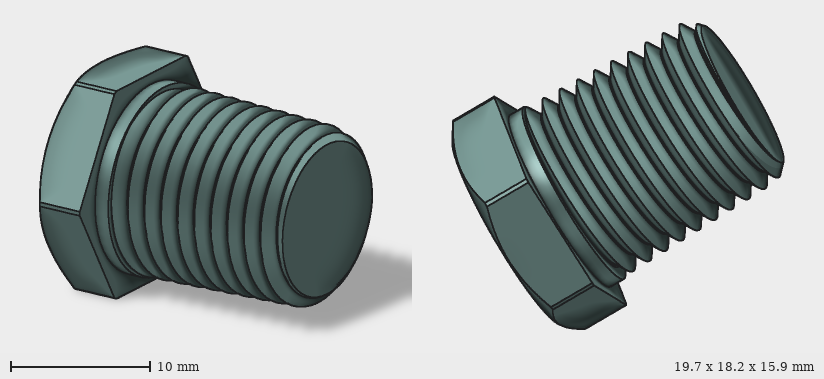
import cadquery as cq
import math

TOTAL_LENGTH = 19.67

HEX_SIDES = 6
ACROSS_FLATS = 15.91
ACROSS_CORNERS = 18.2
HEAD_LENGTH = 4.37
HEAD_FACE_DIAMETER = 15.58
HEAD_CHAMFER_LENGTH = 0.89

COLLAR_DIAMETER = 14.3
COLLAR_END = 5.5

FULL_TURNS = 8
FULL_TURNS_LENGTH = 11.3
PITCH = FULL_TURNS_LENGTH / FULL_TURNS
TAPER_SLOPE = 1 / 32
CREST_RADIUS_AT_COLLAR = 7.05
THREAD_DEPTH = 1.0
ROOT_FLAT = 0.12
FIRST_CREST = 6.05
TIP_RADIUS = 5.72
TIP_CHAMFER_ANGLE = 45.0

RIDGE_OVERLAP = 0.05
RIDGE_START = FIRST_CREST - PITCH
RIDGE_TURNS = 11.3


def crest_radius(x):
    return CREST_RADIUS_AT_COLLAR - TAPER_SLOPE * (x - COLLAR_END)


def root_radius(x):
    return crest_radius(x) - THREAD_DEPTH


def revolve_about_x(points):
    """Solid of revolution from (x, radius) points."""
    return cq.Workplane("XY").polyline(points).close().revolve(360, (0, 0, 0), (1, 0, 0))


def hex_head():
    sharp_corner_diameter = ACROSS_FLATS / math.cos(math.pi / HEX_SIDES)
    prism = cq.Workplane("YZ").polygon(HEX_SIDES, sharp_corner_diameter).extrude(HEAD_LENGTH)
    corner_radius = ACROSS_CORNERS / 2
    turned_blank = revolve_about_x([
        (0, 0),
        (0, HEAD_FACE_DIAMETER / 2),
        (HEAD_CHAMFER_LENGTH, corner_radius),
        (HEAD_LENGTH, corner_radius),
        (HEAD_LENGTH, 0),
    ])
    return prism.intersect(turned_blank)


def collar():
    blank = cq.Workplane("YZ").workplane(offset=HEAD_LENGTH)
    return blank.circle(COLLAR_DIAMETER / 2).extrude(COLLAR_END - HEAD_LENGTH)


def thread_core():
    return revolve_about_x([
        (HEAD_LENGTH, 0),
        (HEAD_LENGTH, root_radius(HEAD_LENGTH)),
        (TOTAL_LENGTH, root_radius(TOTAL_LENGTH)),
        (TOTAL_LENGTH, 0),
    ])


def thread_ridge():
    """Helical ridge, swept along Z and then turned onto the X axis."""
    flank_run = (PITCH - ROOT_FLAT) / 2
    half_base = flank_run * (1 + RIDGE_OVERLAP / THREAD_DEPTH)
    base = root_radius(RIDGE_START) - RIDGE_OVERLAP
    crest = crest_radius(RIDGE_START)
    taper_angle = math.degrees(math.atan(TAPER_SLOPE))
    path = cq.Wire.makeHelix(PITCH, RIDGE_TURNS * PITCH, base, angle=-taper_angle)
    profile = cq.Workplane("XZ").polyline([
        (base, -half_base),
        (crest, 0),
        (base, half_base),
    ]).close()
    ridge = profile.sweep(cq.Workplane(obj=path), isFrenet=True)
    return ridge.rotate((0, 0, 0), (0, 1, 0), 90).translate((RIDGE_START, 0, 0))


def tip_envelope():
    """Chamfered outer limit that trims the ridge at the tip."""
    outer_radius = COLLAR_DIAMETER / 2
    chamfer_length = (outer_radius - TIP_RADIUS) / math.tan(math.radians(TIP_CHAMFER_ANGLE))
    return revolve_about_x([
        (HEAD_LENGTH, 0),
        (HEAD_LENGTH, outer_radius),
        (TOTAL_LENGTH - chamfer_length, outer_radius),
        (TOTAL_LENGTH, TIP_RADIUS),
        (TOTAL_LENGTH, 0),
    ])


trimmed_ridge = thread_ridge().intersect(tip_envelope())
result = hex_head().union(collar()).union(thread_core()).union(trimmed_ridge)